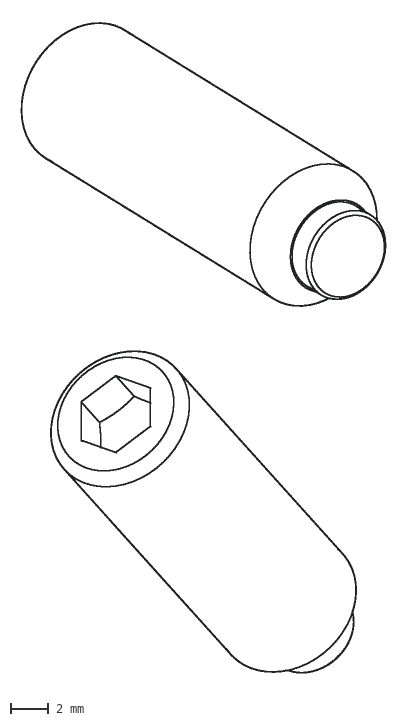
import cadquery as cq
import math

total_length = 26.6
body_radius = 4.0

end_face_radius = 3.35
edge_break_radius = 3.5
edge_break_length = 0.09
end_chamfer = body_radius - edge_break_radius

shoulder_chamfer = 0.6
neck_length = 1.2
neck_end_radius = 2.6
neck_hollow = 0.03
pin_length = 1.6
pin_radius = 2.5
pin_chamfer = 0.2

hexagon_sides = 6
socket_across_flats = 4.0
socket_depth = 2.5
floor_cone_angle = 120.0

body_start = edge_break_length + end_chamfer
pin_start = total_length - pin_length
neck_start = pin_start - neck_length
body_end = neck_start - shoulder_chamfer
neck_start_radius = body_radius - shoulder_chamfer

across_corners = socket_across_flats / math.cos(math.pi / hexagon_sides)
corner_radius = across_corners / 2
cone_height = corner_radius / math.tan(math.radians(floor_cone_angle / 2))
socket_tip = socket_depth + cone_height


def revolve_about_x(outline):
    """Full turn of a closed half outline about the X axis."""
    return outline.revolve(360, (0, 0, 0), (1, 0, 0))


def make_body():
    """Turned screw body, neck and pin."""
    outline = (
        cq.Workplane("XZ")
        .moveTo(0, 0)
        .lineTo(0, end_face_radius)
        .lineTo(edge_break_length, edge_break_radius)
        .lineTo(body_start, body_radius)
        .lineTo(body_end, body_radius)
        .lineTo(neck_start, neck_start_radius)
        .sagittaArc((pin_start, neck_end_radius), -neck_hollow)
        .lineTo(pin_start, pin_radius)
        .lineTo(total_length - pin_chamfer, pin_radius)
        .lineTo(total_length, pin_radius - pin_chamfer)
        .lineTo(total_length, 0)
        .close()
    )
    return revolve_about_x(outline)


def make_socket():
    """Hexagonal prism with corners at top and bottom, ending in a drill-point cone."""
    hexagon = (
        cq.Workplane("YZ")
        .transformed(rotate=(0, 0, 90))
        .polygon(hexagon_sides, across_corners)
        .extrude(socket_tip)
    )
    bore_outline = (
        cq.Workplane("XZ")
        .moveTo(0, 0)
        .lineTo(0, corner_radius)
        .lineTo(socket_depth, corner_radius)
        .lineTo(socket_tip, 0)
        .close()
    )
    return hexagon.intersect(revolve_about_x(bore_outline))


result = make_body().cut(make_socket())